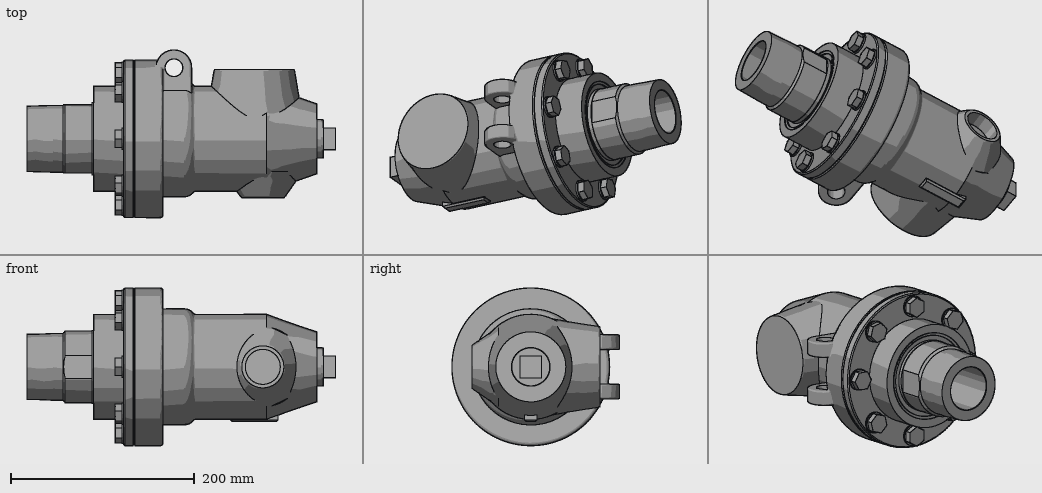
import cadquery as cq
import math


PIPE_DIA = 73.03
PIPE_TAPER = 1 / 16
TAPER_END_X = 28.4
PIPE_END_X = 39.4
COLLAR_START_X = 41.7
COLLAR_DIA = 78.5
COLLAR_END_X = 70.8
SHAFT_DIA = 79.35
FLATS_WIDTH = 74.4
ROTOR_BORE_DIA = 47.6
ROTOR_BORE_END_X = 261.0
ROTOR_BORE_CHAMFER = 0.5

NECK_START_X = 72.6
BODY_DIA = 114.6
COVER_START_X = 105.2
JOINT_X = 116.6
FLANGE_END_X = 148.1
FLANGE_DIA = 172.0
COVER_CHAMFER = 1.3
FLANGE_FILLET = 3.0
SHOULDER_DIA = 126.6
SHOULDER_ROUND_X = 171.1
SHOULDER_ROUND = 12.9
SHOULDER_BLEND = 2.8
CONE_START_X = 261.0
CONE_END_X = 315.6
CONE_END_DIA = 76.3

SEAT_DIA = 96.06
SEAT_DEPTH = 2.5
RING_THICKNESS = 1.5
RING_INNER_DIA = 90.0
RING_HOLE_DIA = 2.75
RING_HOLE_Y = -43.9
RING_HOLE_Z = 5.8
RING_EAR_RADIUS = 2.6
RING_GAP = 2 * (RING_HOLE_Z - RING_EAR_RADIUS)

BOLT_COUNT = 8
BOLT_CIRCLE_RADIUS = 72.1
BOLT_HEX_FLATS = 19.05
BOLT_HEAD_START_X = 96.1
WASHER_DIA = 23.2
WASHER_START_X = 103.3

LUG_X = 160.0
LUG_Y = 77.4
LUG_RADIUS = 19.45
LUG_HOLE_DIA = 19.05
LUG_INNER_Z = 18.7
LUG_THICKNESS = 16.3
LUG_EDGE_FILLET = 2.0
LUG_ROOT_FILLET = 1.9

SMALL_PORT_X = 256.8
SMALL_PORT_END = 64.2
SMALL_PORT_DIA = 49.4
SMALL_PORT_HALF_ANGLE = 35.0
SMALL_PORT_CHAMFER = 1.8
SMALL_PORT_BORE_DIA = 38.1
SMALL_PORT_DEPTH = 17.0
SMALL_PORT_ROOT = 35.4

LARGE_BOSS_X = 247.5
LARGE_BOSS_END = 75.5
LARGE_BOSS_DIA = 88.3
LARGE_BOSS_HALF_ANGLE = 9.4
LARGE_BOSS_CHAMFER_WIDTH = 0.7
LARGE_BOSS_CHAMFER_HEIGHT = 2.1
LARGE_BOSS_ROOT = 0.0
PAD_LENGTH = 52.2
PAD_WIDTH = 14.0
PAD_END = 59.6
PAD_CHAMFER = 2.0

PLUG_DIA = 42.16
PLUG_END_X = 322.7
PLUG_CHAMFER_START_X = 320.3
PLUG_CHAMFER = 0.4
PLUG_SQUARE = 23.8
TOTAL_LENGTH = 336.0


def disc(start_x, end_x, diameter, y=0.0, z=0.0):
    """Cylinder along X between two stations."""
    plane = cq.Workplane("YZ", origin=(start_x, y, z))
    return plane.circle(diameter / 2).extrude(end_x - start_x)


def make_housing():
    body_r = BODY_DIA / 2
    flange_r = FLANGE_DIA / 2
    chamfer_r = flange_r - COVER_CHAMFER
    shoulder_r = SHOULDER_DIA / 2

    centre_distance = SHOULDER_ROUND + SHOULDER_BLEND
    centre_rise = centre_distance - (shoulder_r - body_r)
    centre_run = math.sqrt(centre_distance**2 - centre_rise**2)
    round_share = SHOULDER_ROUND / centre_distance
    meet_x = SHOULDER_ROUND_X + centre_run * round_share
    meet_r = shoulder_r - SHOULDER_ROUND + centre_rise * round_share
    blend_end_x = SHOULDER_ROUND_X + centre_run

    profile = (
        cq.Workplane("XY")
        .moveTo(NECK_START_X, 0)
        .lineTo(NECK_START_X, body_r)
        .lineTo(COVER_START_X, body_r)
        .lineTo(COVER_START_X, chamfer_r)
        .lineTo(COVER_START_X + COVER_CHAMFER, flange_r)
        .lineTo(JOINT_X - COVER_CHAMFER, flange_r)
        .lineTo(JOINT_X, chamfer_r)
        .lineTo(JOINT_X + COVER_CHAMFER, flange_r)
        .lineTo(FLANGE_END_X - FLANGE_FILLET, flange_r)
        .radiusArc((FLANGE_END_X, flange_r - FLANGE_FILLET), FLANGE_FILLET)
        .lineTo(FLANGE_END_X, shoulder_r)
        .lineTo(SHOULDER_ROUND_X, shoulder_r)
        .radiusArc((meet_x, meet_r), SHOULDER_ROUND)
        .radiusArc((blend_end_x, body_r), -SHOULDER_BLEND)
        .lineTo(CONE_START_X, body_r)
        .lineTo(CONE_END_X, CONE_END_DIA / 2)
        .lineTo(CONE_END_X, 0)
        .close()
    )
    return profile.revolve(360, (0, 0, 0), (1, 0, 0))


def make_lug():
    """Lug on the +Z side, with its root buried in the flange and shoulder."""
    edge_x = LUG_X + LUG_RADIUS
    outline = (
        cq.Workplane("XY", origin=(0, 0, LUG_INNER_Z))
        .moveTo(edge_x, 0)
        .lineTo(edge_x, LUG_Y)
        .threePointArc((LUG_X, LUG_Y + LUG_RADIUS), (LUG_X - LUG_RADIUS, LUG_Y))
        .lineTo(LUG_X - LUG_RADIUS, 0)
        .close()
    )
    lug = outline.extrude(LUG_THICKNESS)
    rim = lug.faces("<Z or >Z").edges("not <Y")
    return rim.fillet(LUG_EDGE_FILLET)


def add_lugs(housing):
    lug = make_lug()
    outer_z = LUG_INNER_Z + LUG_THICKNESS
    housing = housing.union(lug).union(lug.mirror("XY"))
    margin = 0.1
    flange_corners = cq.selectors.BoxSelector(
        (FLANGE_END_X - margin, SHOULDER_DIA / 4, -outer_z - margin),
        (FLANGE_END_X + margin, FLANGE_DIA / 2, outer_z + margin),
    )
    housing = housing.edges("|Y").edges(flange_corners).fillet(LUG_ROOT_FILLET)
    hole = cq.Workplane("XY").center(LUG_X, LUG_Y).circle(LUG_HOLE_DIA / 2).extrude(outer_z, both=True)
    return housing.cut(hole)


def turned_boss(root_height, end_height, end_dia, half_angle, chamfer_width, chamfer_height):
    """Tapered boss standing along +Y above the origin, chamfered at its end."""
    end_r = end_dia / 2
    cone_top = end_height - chamfer_height
    root_r = end_r + (cone_top - root_height) * math.tan(math.radians(half_angle))
    profile = (
        cq.Workplane("XY")
        .moveTo(0, root_height)
        .lineTo(root_r, root_height)
        .lineTo(end_r, cone_top)
        .lineTo(end_r - chamfer_width, end_height)
        .lineTo(0, end_height)
        .close()
    )
    return profile.revolve(360, (0, 0, 0), (0, 1, 0))


def add_bosses(housing):
    large_boss = turned_boss(
        LARGE_BOSS_ROOT,
        LARGE_BOSS_END,
        LARGE_BOSS_DIA,
        LARGE_BOSS_HALF_ANGLE,
        LARGE_BOSS_CHAMFER_WIDTH,
        LARGE_BOSS_CHAMFER_HEIGHT,
    ).translate((LARGE_BOSS_X, 0, 0))

    small_port = turned_boss(
        SMALL_PORT_ROOT,
        SMALL_PORT_END,
        SMALL_PORT_DIA,
        SMALL_PORT_HALF_ANGLE,
        SMALL_PORT_CHAMFER,
        SMALL_PORT_CHAMFER,
    ).mirror("XZ").translate((SMALL_PORT_X, 0, 0))

    pad = cq.Workplane("XY").center(LARGE_BOSS_X, 0).rect(PAD_LENGTH, PAD_WIDTH).extrude(-PAD_END)
    pad = pad.faces("<Z").chamfer(PAD_CHAMFER)

    port_bore = (
        cq.Workplane("XZ", origin=(SMALL_PORT_X, -SMALL_PORT_END, 0))
        .circle(SMALL_PORT_BORE_DIA / 2)
        .extrude(-SMALL_PORT_DEPTH)
    )
    return housing.union(large_boss).union(small_port).union(pad).cut(port_bore)


def make_retaining_ring():
    front_x = NECK_START_X + SEAT_DEPTH - RING_THICKNESS
    back_x = NECK_START_X + SEAT_DEPTH
    ring = disc(front_x, back_x, SEAT_DIA).cut(disc(front_x, back_x, RING_INNER_DIA))
    ears_z = (RING_HOLE_Z, -RING_HOLE_Z)
    for ear_z in ears_z:
        ring = ring.union(disc(front_x, back_x, 2 * RING_EAR_RADIUS, RING_HOLE_Y, ear_z))
    gap = cq.Workplane("XY").box(TOTAL_LENGTH, SEAT_DIA, RING_GAP).translate((0, -SEAT_DIA / 2, 0))
    ring = ring.cut(gap)
    for ear_z in ears_z:
        ring = ring.cut(disc(front_x, back_x, RING_HOLE_DIA, RING_HOLE_Y, ear_z))
    return ring


def make_rotor():
    seat_floor_x = NECK_START_X + SEAT_DEPTH
    pipe_r = PIPE_DIA / 2
    tip_r = pipe_r - TAPER_END_X * PIPE_TAPER / 2
    collar_r = COLLAR_DIA / 2
    profile = (
        cq.Workplane("XY")
        .lineTo(0, tip_r)
        .lineTo(TAPER_END_X, pipe_r)
        .lineTo(PIPE_END_X, pipe_r)
        .lineTo(COLLAR_START_X, collar_r)
        .lineTo(COLLAR_END_X, collar_r)
        .lineTo(COLLAR_END_X, 0)
        .close()
    )
    rotor = profile.revolve(360, (0, 0, 0), (1, 0, 0))
    flats = cq.Workplane("YZ").rect(FLATS_WIDTH, 2 * COLLAR_DIA).extrude(COLLAR_END_X)
    return rotor.intersect(flats).union(disc(COLLAR_END_X, seat_floor_x, SHAFT_DIA))


def make_rotor_bore():
    bore = disc(0, ROTOR_BORE_END_X, ROTOR_BORE_DIA)
    mouth_r = ROTOR_BORE_DIA / 2 + ROTOR_BORE_CHAMFER
    mouth = cq.Solid.makeCone(
        mouth_r, ROTOR_BORE_DIA / 2, ROTOR_BORE_CHAMFER, cq.Vector(0, 0, 0), cq.Vector(1, 0, 0)
    )
    return bore.union(cq.Workplane(mouth))


def make_bolt():
    """Hexagon head on a round washer at the +Y point of the bolt circle, one corner pointing outward."""
    hex_corners = BOLT_HEX_FLATS / math.cos(math.radians(30))
    head = (
        cq.Workplane("YZ", origin=(BOLT_HEAD_START_X, BOLT_CIRCLE_RADIUS, 0))
        .polygon(6, hex_corners)
        .extrude(WASHER_START_X - BOLT_HEAD_START_X)
    )
    return head.union(disc(WASHER_START_X, COVER_START_X, WASHER_DIA, BOLT_CIRCLE_RADIUS))


def add_bolts(housing):
    bolt = make_bolt()
    for index in range(BOLT_COUNT):
        angle = index * 360 / BOLT_COUNT
        housing = housing.union(bolt.rotate((0, 0, 0), (1, 0, 0), angle))
    return housing


def make_plug():
    flange = disc(CONE_END_X, PLUG_END_X, PLUG_DIA)
    flange = flange.faces(">X").chamfer(PLUG_END_X - PLUG_CHAMFER_START_X, PLUG_CHAMFER)
    head_plane = cq.Workplane("YZ", origin=(PLUG_END_X, 0, 0))
    return flange.union(head_plane.rect(PLUG_SQUARE, PLUG_SQUARE).extrude(TOTAL_LENGTH - PLUG_END_X))


housing = add_bosses(add_lugs(make_housing()))
housing = housing.cut(disc(NECK_START_X, NECK_START_X + SEAT_DEPTH, SEAT_DIA))
housing = add_bolts(housing.union(make_retaining_ring()))
result = housing.union(make_rotor()).union(make_plug()).cut(make_rotor_bore())